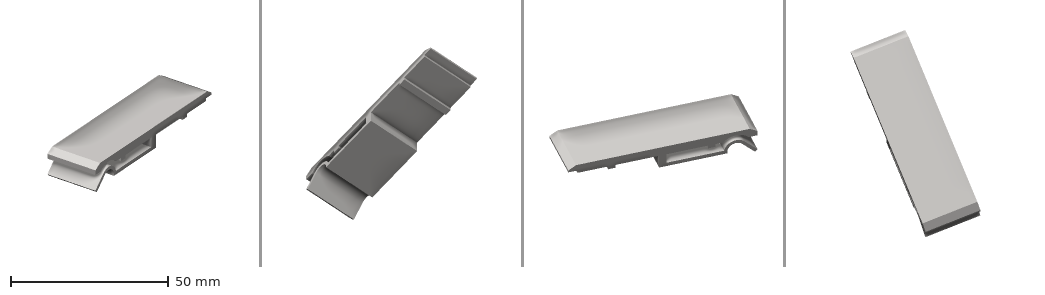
import cadquery as cq
import math

length = 63.5
width = 18.8
plate_thickness = 3.25
bevel_length = 2.6
bevel_drop = 1.5
lip_length = 3.1
lip_thickness = 2.3

foot_length = 2.5
foot_height = 1.15
foot_offsets = (13.4, 46.9)

post_offset = 30.5
post_length = 2.5
clip_depth = 8.0
arm_thickness = 1.35
hook_y = -24.5
hook_z = -7.5
hook_inner_radius = 2.9
hook_wall = 1.15
hook_clearance = 2.0
tail_angle = math.radians(44.5)

half_length = length / 2
hook_outer_radius = hook_inner_radius + hook_wall
recess_radius = hook_outer_radius + hook_clearance


def extrude_profile(profile):
    """Extrude a closed YZ profile over the full width, centred on X."""
    return profile.close().extrude(width / 2, both=True)


def make_block(y_max, block_length, z_top, height):
    """Full-width block extending toward -Y and -Z from its upper edge."""
    return (
        cq.Workplane("XY")
        .box(width, block_length, height)
        .translate((0, y_max - block_length / 2, z_top - height / 2))
    )


def hook_point(radius, angle, along_tail=0.0):
    """Point on the hook at an angle from +Z toward -Y, then along the tangent tail."""
    y = hook_y - radius * math.sin(angle) - along_tail * math.cos(angle)
    z = hook_z + radius * math.cos(angle) - along_tail * math.sin(angle)
    return y, z


def make_plate():
    """Bevelled plate with a thin lip at +Y and a relief above the hook."""
    plate = extrude_profile(
        cq.Workplane("YZ")
        .moveTo(-half_length, -plate_thickness)
        .lineTo(-half_length, -bevel_drop)
        .lineTo(-half_length + bevel_length, 0)
        .lineTo(half_length - bevel_length, 0)
        .lineTo(half_length, -bevel_drop)
        .lineTo(half_length, -lip_thickness)
        .lineTo(half_length - lip_length, -lip_thickness)
        .lineTo(half_length - lip_length, -plate_thickness)
    )
    relief = (
        cq.Workplane("YZ")
        .center(hook_y, hook_z)
        .circle(recess_radius)
        .extrude(width / 2, both=True)
    )
    return plate.cut(relief)


def make_clip():
    """Arm running from the post into a round hook and a straight sloping tail."""
    post_y = half_length - post_offset
    arm_top = -clip_depth + arm_thickness

    outer_start_angle = -math.acos((arm_top - hook_z) / hook_outer_radius)
    inner_end_angle = -math.acos((-clip_depth - hook_z) / hook_inner_radius)

    tail_reach = hook_y + half_length - hook_outer_radius * math.sin(tail_angle)
    tail_length = tail_reach / math.cos(tail_angle)

    arm = extrude_profile(
        cq.Workplane("YZ")
        .moveTo(post_y, -clip_depth)
        .lineTo(post_y, arm_top)
        .lineTo(*hook_point(hook_outer_radius, outer_start_angle))
        .threePointArc(
            hook_point(hook_outer_radius, 0),
            hook_point(hook_outer_radius, tail_angle),
        )
        .lineTo(*hook_point(hook_outer_radius, tail_angle, tail_length))
        .lineTo(*hook_point(hook_inner_radius, tail_angle, tail_length))
        .lineTo(*hook_point(hook_inner_radius, tail_angle))
        .threePointArc(
            hook_point(hook_inner_radius, 0),
            hook_point(hook_inner_radius, inner_end_angle),
        )
    )
    post = make_block(post_y, post_length, -plate_thickness, clip_depth - plate_thickness)
    return arm.union(post)


result = make_plate().union(make_clip())
for foot_offset in foot_offsets:
    foot = make_block(half_length - foot_offset, foot_length, -plate_thickness, foot_height)
    result = result.union(foot)